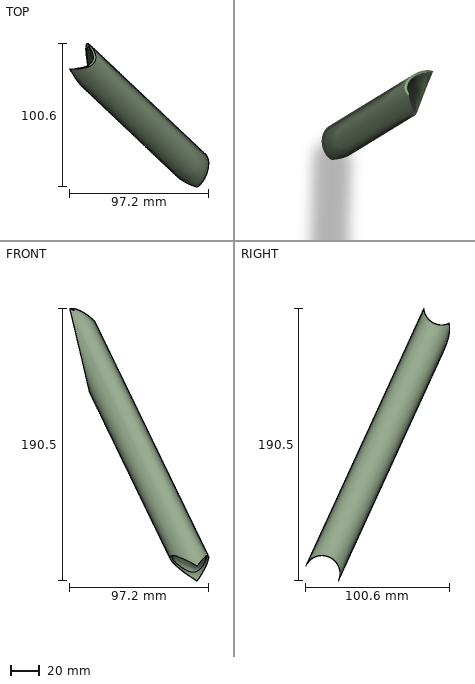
import cadquery as cq
import math

OUTER_DIAMETER = 25.0
WALL = 1.6

RUN_X = 91.1
RUN_Y = -86.2
DROP_Z = -188.1

CROSS_DIAMETER = 25.0
UPPER_CROSS_Y = -2.6
UPPER_CROSS_Z = -1.8

SPINE_DIAMETER = 32.0

END_ALLOWANCE = 60.0
CUTTER_LENGTH = 600.0

UPPER_END = cq.Vector(0, 0, 0)
LOWER_END = cq.Vector(RUN_X, RUN_Y, DROP_Z)
MIDDLE = (UPPER_END + LOWER_END) * 0.5
X_AXIS = cq.Vector(1, 0, 0)


def rod(diameter, centre, direction, length):
    """Solid cylinder centred on a point and running along a direction."""
    axis = direction.normalized()
    start = centre - axis * (length / 2)
    return cq.Workplane(cq.Solid.makeCylinder(diameter / 2, length, start, axis))


def blank_tube():
    """Straight round tube, overlong at each end."""
    axis = LOWER_END - UPPER_END
    length = axis.Length + 2 * END_ALLOWANCE
    outside = rod(OUTER_DIAMETER, MIDDLE, axis, length)
    bore = rod(OUTER_DIAMETER - 2 * WALL, MIDDLE, axis, length)
    return outside.cut(bore)


def cope_ends(tube):
    """Saddle cuts that fit both ends around the cross tubes."""
    upper_cross = cq.Vector(0, UPPER_CROSS_Y, UPPER_CROSS_Z)
    for centre in (upper_cross, LOWER_END):
        tube = tube.cut(rod(CROSS_DIAMETER, centre, X_AXIS, CUTTER_LENGTH))
    return tube


def cope_spine(tube):
    """Long saddle cut in the side of the upper end.

    Seen along X the spine is parallel to the tube, and their lower edges line up.
    """
    slope = cq.Vector(0, RUN_Y, DROP_Z)
    edge_offset = (SPINE_DIAMETER - OUTER_DIAMETER) / 2
    tilt = math.atan2(RUN_Y, DROP_Z)
    centre = cq.Vector(0, edge_offset / abs(math.cos(tilt)), 0)
    return tube.cut(rod(SPINE_DIAMETER, centre, slope, CUTTER_LENGTH))


def middle_piece(tube):
    """The length between the joints, without the loose offcuts beyond them."""
    return min(tube.solids().vals(), key=lambda solid: (solid.Center() - MIDDLE).Length)


result = cq.Workplane(middle_piece(cope_spine(cope_ends(blank_tube()))))